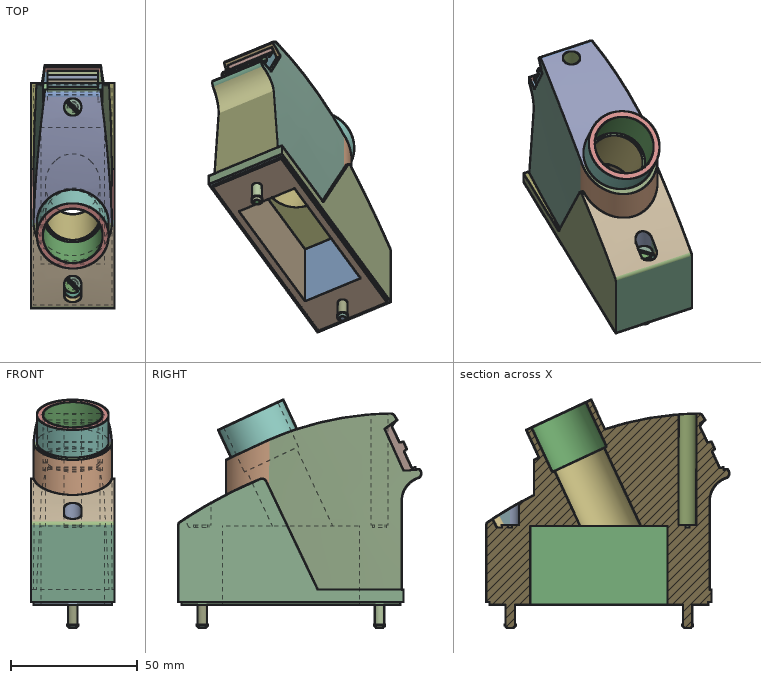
import cadquery as cq
import math

BODY_WIDTH = 33.0
BASE_LENGTH = 89.0
FRONT_Y = -BASE_LENGTH / 2
BACK_Y = BASE_LENGTH / 2
FLANGE_HEIGHT = 5.0
WEDGE_FRONT_HEIGHT = 31.2
WEDGE_ROOF_MIDDLE = (-25.6, 42.4)
WEDGE_PEAK = (-10.5, 49.3)
WEDGE_TOE_Y = 10.6
WEDGE_PEAK_RADIUS = 1.8
FRONT_EDGE_RADIUS = 1.6

SEAL_LENGTH = 86.4
SEAL_WIDTH = 31.0
SEAL_THICKNESS = 1.0

BOSS_RADIUS = 15.5
BOSS_Y = -10.2
TUBE_TILT = 25.0
TUBE_BASE = (-10.8, 63.1)
TUBE_LENGTH = 12.0
TUBE_ROOT = 6.0
TUBE_RADIUS = 14.2
BORE_RADIUS = 11.8
BORE_DEPTH = 19.4
INNER_BORE_RADIUS = 10.8

CAVITY_LENGTH = 54.0
CAVITY_WIDTH = 25.0
CAVITY_ROOF = 30.0

HOOD_WALL_Y = 43.8
HOOD_STATIONS = (BOSS_Y, 21.0, 54.0)
HOOD_FRONT_HALF_WIDTH = 15.45
HOOD_FOOT_HALF_WIDTHS = (HOOD_FRONT_HALF_WIDTH, 15.45, 14.0)
HOOD_TOP_HALF_WIDTHS = (HOOD_FRONT_HALF_WIDTH, 13.2, 9.1)
HOOD_TOP = 76.0
ROOF_END = (38.9, 74.5)

NOSE_ROUND_MIDDLE = (40.4, 74.2)
NOSE_ROUND_END = (41.1, 73.4)
NOSE_TIP = (42.0, 71.9)
RECESS_TOP = (37.0, 68.4)
RECESS_BOTTOM = (44.5, 51.9)
LIP_LEDGE = (48.7, 52.2)
LIP_TOP = (50.5, 52.6)
LIP_TIP = (51.5, 51.0)
LIP_BOTTOM = (50.5, 49.1)
WALL_CURVE_MIDDLE = (45.9, 46.0)
WALL_CURVE_END = (HOOD_WALL_Y, 40.5)

INSERT_WIDTH = 20.0
INSERT_OUTLINE = (
    (36.0, 68.4),
    (40.9, 70.9),
    (39.9, 69.3),
    (42.9, 63.1),
    (44.4, 63.4),
    (45.8, 60.5),
    (44.7, 59.5),
    (47.7, 53.1),
    (49.2, 53.3),
    (49.5, 51.5),
    (43.0, 51.5),
)

SCREW_Y = 35.0
HEAD_RADIUS = 3.4
HEAD_TOP = 30.5
HEAD_HEIGHT = 1.0
SHANK_RADIUS = 1.95
SHANK_BOTTOM = -8.8
COLLAR_RADIUS = 2.2
COLLAR_HEIGHT = 0.4
TIP_RADIUS = 1.2
SCREW_BOTTOM = -10.2
DRIVE_SLOT_WIDTH = 1.0
DRIVE_SLOT_DEPTH = 1.0
DRIVE_SLOT_ANGLE = -45.0
WELL_TOP = 80.0
FRONT_WELL_FLOOR_REACH = 1.8
FRONT_WELL_LEAN = 28.0
FRONT_WELL_TOP = 42.0

TILT_SIN = math.sin(math.radians(TUBE_TILT))
TILT_COS = math.cos(math.radians(TUBE_TILT))


def side_profile():
    return cq.Workplane("YZ")


def wedge():
    """Full-width front part with its curved sloping roof, running into the low flange."""
    body = (
        side_profile()
        .moveTo(FRONT_Y, 0)
        .lineTo(BACK_Y, 0)
        .lineTo(BACK_Y, FLANGE_HEIGHT)
        .lineTo(WEDGE_TOE_Y, FLANGE_HEIGHT)
        .lineTo(*WEDGE_PEAK)
        .threePointArc(WEDGE_ROOF_MIDDLE, (FRONT_Y, WEDGE_FRONT_HEIGHT))
        .close()
        .extrude(BODY_WIDTH / 2, both=True)
    )
    front_edge = cq.selectors.NearestToPointSelector((0, FRONT_Y, WEDGE_FRONT_HEIGHT))
    body = body.edges(front_edge).fillet(FRONT_EDGE_RADIUS)
    peak_edge = cq.selectors.NearestToPointSelector((0, *WEDGE_PEAK))
    return body.edges(peak_edge).fillet(WEDGE_PEAK_RADIUS)


def hood_plan(workplane, half_widths):
    """Plan outline of the hood: straight ends joined by two bowed sides."""
    front, middle, back = zip(half_widths, HOOD_STATIONS)
    return (
        workplane.moveTo(*front)
        .threePointArc(middle, back)
        .lineTo(-back[0], back[1])
        .threePointArc((-middle[0], middle[1]), (-front[0], front[1]))
        .close()
    )


def hood():
    """Tapered hood and cable boss, trimmed to the side outline."""
    foot = hood_plan(cq.Workplane("XY"), HOOD_FOOT_HALF_WIDTHS)
    tapered = hood_plan(foot.workplane(offset=HOOD_TOP), HOOD_TOP_HALF_WIDTHS).loft(ruled=True)
    boss = cq.Workplane("XY").center(0, BOSS_Y).circle(BOSS_RADIUS).extrude(HOOD_TOP)
    boss_front = BOSS_Y - BOSS_RADIUS
    boss_front_height = TUBE_BASE[1] - (TUBE_BASE[0] - boss_front) * TILT_SIN / TILT_COS
    outline = (
        side_profile()
        .moveTo(boss_front, 0)
        .lineTo(boss_front, boss_front_height)
        .lineTo(*TUBE_BASE)
        .tangentArcPoint(ROOF_END, relative=False)
        .threePointArc(NOSE_ROUND_MIDDLE, NOSE_ROUND_END)
        .lineTo(*NOSE_TIP)
        .lineTo(*RECESS_TOP)
        .lineTo(*RECESS_BOTTOM)
        .lineTo(*LIP_LEDGE)
        .lineTo(*LIP_TOP)
        .threePointArc(LIP_TIP, LIP_BOTTOM)
        .threePointArc(WALL_CURVE_MIDDLE, WALL_CURVE_END)
        .lineTo(HOOD_WALL_Y, 0)
        .close()
        .extrude(BODY_WIDTH / 2, both=True)
    )
    return tapered.intersect(outline).union(boss.intersect(outline))


def insert():
    """Stepped block set into the sloping back of the hood."""
    return side_profile().polyline(INSERT_OUTLINE).close().extrude(INSERT_WIDTH / 2, both=True)


def along_tube(start, end, radius):
    """Cylinder on the tilted tube axis; distances are measured upward from the tube base."""
    base_y, base_z = TUBE_BASE
    origin = (0, base_y - start * TILT_SIN, base_z + start * TILT_COS)
    plane = cq.Plane(origin=origin, xDir=(1, 0, 0), normal=(0, -TILT_SIN, TILT_COS))
    return cq.Workplane(plane).circle(radius).extrude(end - start)


def cable_passage():
    """Stepped tilted bore and the hollow below it."""
    upper_bore = along_tube(TUBE_LENGTH - BORE_DEPTH, TUBE_LENGTH, BORE_RADIUS)
    axis_to_bottom = -TUBE_BASE[1] / TILT_COS
    above_cavity = (
        cq.Workplane("XY")
        .workplane(offset=CAVITY_ROOF)
        .rect(BODY_WIDTH, BASE_LENGTH)
        .extrude(HOOD_TOP - CAVITY_ROOF)
    )
    inner_bore = along_tube(axis_to_bottom, 0, INNER_BORE_RADIUS).intersect(above_cavity)
    cavity = (
        cq.Workplane("XY")
        .workplane(offset=-SEAL_THICKNESS)
        .rect(CAVITY_WIDTH, CAVITY_LENGTH)
        .extrude(CAVITY_ROOF + SEAL_THICKNESS)
    )
    return upper_bore.union(inner_bore).union(cavity)


def seal_plate():
    return cq.Workplane("XY").rect(SEAL_WIDTH, SEAL_LENGTH).extrude(-SEAL_THICKNESS)


def back_well():
    """Round screwdriver well down to the top of the screw head."""
    return (
        cq.Workplane("XY")
        .workplane(offset=HEAD_TOP)
        .center(0, SCREW_Y)
        .circle(HEAD_RADIUS)
        .extrude(WELL_TOP - HEAD_TOP)
    )


def slot_outline(workplane, reach):
    """Slot stretched forward by the given reach from the workplane centre."""
    return (
        workplane.moveTo(-HEAD_RADIUS, 0)
        .threePointArc((0, HEAD_RADIUS), (HEAD_RADIUS, 0))
        .lineTo(HEAD_RADIUS, -reach)
        .threePointArc((0, -reach - HEAD_RADIUS), (-HEAD_RADIUS, -reach))
        .close()
    )


def front_well():
    """Slotted well whose front wall leans forward as it rises."""
    floor_height = HEAD_TOP - HEAD_HEIGHT
    start = cq.Workplane("XY").workplane(offset=floor_height).center(0, -SCREW_Y)
    floor = slot_outline(start, FRONT_WELL_FLOOR_REACH)
    rise = FRONT_WELL_TOP - floor_height
    top_reach = FRONT_WELL_FLOOR_REACH + rise * math.tan(math.radians(FRONT_WELL_LEAN))
    return slot_outline(floor.workplane(offset=rise), top_reach).loft(ruled=True)


def screw_head(y):
    """Head standing proud of the front well's floor."""
    return (
        cq.Workplane("XY")
        .workplane(offset=HEAD_TOP - HEAD_HEIGHT)
        .center(0, y)
        .circle(HEAD_RADIUS)
        .extrude(HEAD_HEIGHT)
    )


def drive_slot(y):
    return (
        cq.Workplane("XY")
        .workplane(offset=HEAD_TOP - DRIVE_SLOT_DEPTH)
        .center(0, y)
        .transformed(rotate=(0, 0, DRIVE_SLOT_ANGLE))
        .rect(2 * HEAD_RADIUS, DRIVE_SLOT_WIDTH)
        .extrude(DRIVE_SLOT_DEPTH)
    )


def screw_shank(y):
    """Shank below the base with a collar and a conical tip."""
    collar_bottom = SHANK_BOTTOM - COLLAR_HEIGHT
    outline = (
        side_profile()
        .moveTo(0, 0)
        .lineTo(SHANK_RADIUS, 0)
        .lineTo(SHANK_RADIUS, SHANK_BOTTOM)
        .lineTo(COLLAR_RADIUS, SHANK_BOTTOM)
        .lineTo(COLLAR_RADIUS, collar_bottom)
        .lineTo(TIP_RADIUS, SCREW_BOTTOM)
        .lineTo(0, SCREW_BOTTOM)
        .close()
    )
    return outline.revolve(360, (0, 0), (0, 1)).translate((0, y, 0))


tube = along_tube(-TUBE_ROOT, TUBE_LENGTH, TUBE_RADIUS)
result = wedge().union(hood()).union(insert()).union(tube).union(seal_plate())
result = result.cut(cable_passage()).cut(back_well()).cut(front_well())
for screw_y in (-SCREW_Y, SCREW_Y):
    result = result.union(screw_head(screw_y)).union(screw_shank(screw_y))
    result = result.cut(drive_slot(screw_y))